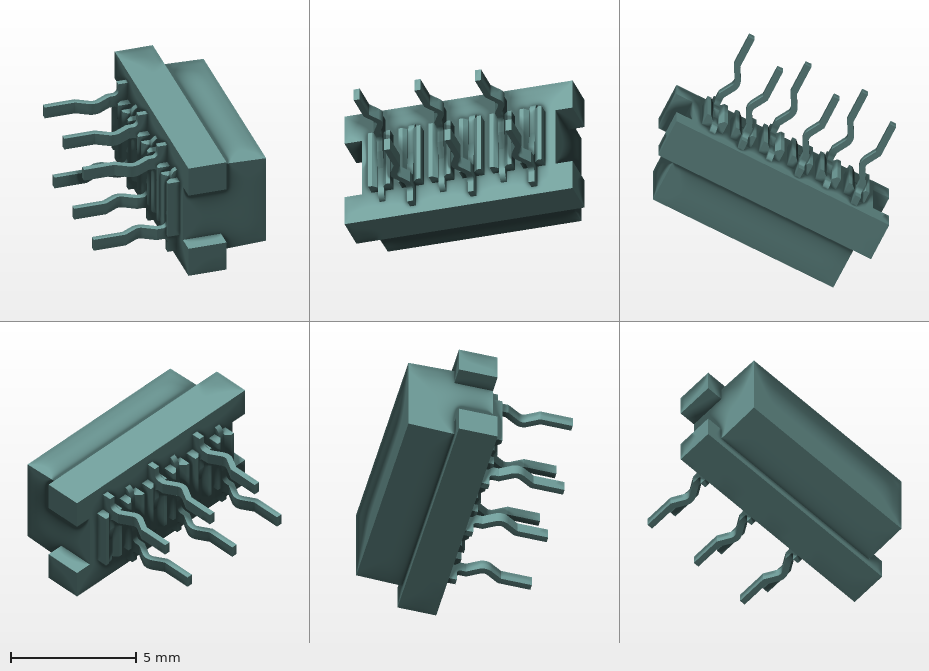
import math

import cadquery as cq

FLANGE_WIDTH = 9.55
FLANGE_HEIGHT = 5.0
FLANGE_DEPTH = 1.6
NOTCH_HEIGHT = 2.48
REAR_WIDTH = 8.1
REAR_DEPTH = 1.9
REAR_ROOT_HEIGHT = 3.98
REAR_DRAFT_ANGLE = 2.0

CONTACT_COUNT = 6
PITCH = 1.27
ROW_OFFSET = PITCH

CONTACT_THICKNESS = 0.25
RIB_PAIR_WIDTH = 0.92
RIB_HEIGHT = NOTCH_HEIGHT
RIB_DEPTH = 0.5
RIB_CHAMFER = 0.17

STRIP_DATUM_Z = -0.06
HEAD_HEIGHT = 2.093
FOOT_HEIGHT = -1.667
FOOT_ARC_HEIGHT = 0.34
STEP_TOP = 0.445
STEP_BOTTOM = -0.255
STRIP_DEPTH = 0.4
THIN_DEPTH = 0.25

TAIL_END = 3.5
TAIL_HEIGHT = 0.5
TAIL_ROOT_RADIUS = 0.2
KINK_CENTER = 1.5
KINK_HALF_LENGTH = 0.69
KINK_ANGLE = 30.0
KINK_RADIUS = 0.4


def make_housing():
    """Flange with a notch at each end, and the rear body tapering in height."""
    flange = cq.Workplane("XY").box(
        FLANGE_WIDTH, FLANGE_DEPTH, FLANGE_HEIGHT, centered=(True, False, True)
    )
    notch_width = (FLANGE_WIDTH - REAR_WIDTH) / 2
    for side in (-1, 1):
        notch = cq.Workplane("XY").box(
            notch_width, FLANGE_DEPTH, NOTCH_HEIGHT, centered=(True, False, True)
        )
        flange = flange.cut(notch.translate((side * (REAR_WIDTH + notch_width) / 2, 0, 0)))

    back = FLANGE_DEPTH + REAR_DEPTH
    root_z = REAR_ROOT_HEIGHT / 2
    back_z = root_z - REAR_DEPTH * math.tan(math.radians(REAR_DRAFT_ANGLE))
    rear = (
        cq.Workplane("YZ")
        .polyline([(FLANGE_DEPTH, -root_z), (back, -back_z), (back, back_z), (FLANGE_DEPTH, root_z)])
        .close()
        .extrude(REAR_WIDTH / 2, both=True)
    )
    return flange.union(rear)


def make_ribs(x):
    """Two ribs facing each other across the slot, chamfered at the slot mouth."""
    outer = RIB_PAIR_WIDTH / 2
    inner = CONTACT_THICKNESS / 2
    ribs = []
    for side in (-1, 1):
        rib = (
            cq.Workplane("XY")
            .polyline([
                (x + side * inner, 0),
                (x + side * outer, 0),
                (x + side * outer, -RIB_DEPTH),
                (x + side * (inner + RIB_CHAMFER), -RIB_DEPTH),
                (x + side * inner, -RIB_DEPTH + RIB_CHAMFER),
            ])
            .close()
            .extrude(RIB_HEIGHT / 2, both=True)
        )
        ribs.append(rib)
    return ribs


def make_strip(x, row):
    """Stepped strip with a rounded foot, filleted into the straight root of the tail.

    The row is +1 for the upper row and -1 for the lower row, which is turned upside down.
    """
    def at_height(depth, height):
        return (-depth, STRIP_DATUM_Z + row * height)

    def at_tail(depth, offset):
        return (-depth, row * (ROW_OFFSET + offset))

    half_tail = TAIL_HEIGHT / 2
    root_end = STRIP_DEPTH + TAIL_ROOT_RADIUS
    fillet_reach = half_tail + TAIL_ROOT_RADIUS
    fillet_middle = TAIL_ROOT_RADIUS * (1 - math.sqrt(0.5))
    middle_depth = STRIP_DEPTH + fillet_middle
    middle_offset = half_tail + fillet_middle

    foot_radius = (FOOT_ARC_HEIGHT**2 + THIN_DEPTH**2) / (2 * THIN_DEPTH)
    half_sweep = math.asin(FOOT_ARC_HEIGHT / foot_radius) / 2
    foot_arc_start = FOOT_HEIGHT + FOOT_ARC_HEIGHT
    foot_arc_depth = THIN_DEPTH - foot_radius * (1 - math.cos(half_sweep))
    foot_arc_height = foot_arc_start - foot_radius * math.sin(half_sweep)

    return (
        cq.Workplane("YZ", origin=(x - CONTACT_THICKNESS / 2, 0, 0))
        .moveTo(*at_height(0, HEAD_HEIGHT))
        .lineTo(*at_height(STRIP_DEPTH, HEAD_HEIGHT))
        .lineTo(*at_tail(STRIP_DEPTH, fillet_reach))
        .threePointArc(at_tail(middle_depth, middle_offset), at_tail(root_end, half_tail))
        .lineTo(*at_tail(root_end, -half_tail))
        .threePointArc(at_tail(middle_depth, -middle_offset), at_tail(STRIP_DEPTH, -fillet_reach))
        .lineTo(*at_height(STRIP_DEPTH, STEP_TOP))
        .lineTo(*at_height(THIN_DEPTH, STEP_BOTTOM))
        .lineTo(*at_height(THIN_DEPTH, foot_arc_start))
        .threePointArc(at_height(foot_arc_depth, foot_arc_height), at_height(0, FOOT_HEIGHT))
        .close()
        .extrude(CONTACT_THICKNESS)
    )


def make_tail(x, row):
    """Tail with a rounded kink, towards +X in the upper row and -X in the lower row."""
    angle = math.radians(KINK_ANGLE)
    half_width = CONTACT_THICKNESS / 2
    miter = half_width * math.tan(angle / 2)
    root_end = STRIP_DEPTH + TAIL_ROOT_RADIUS
    arc_center = KINK_HALF_LENGTH * math.tan(angle) - KINK_RADIUS / math.cos(angle)

    def at(offset, distance):
        return (x + row * offset, -distance)

    outer_radius = KINK_RADIUS + half_width
    inner_radius = KINK_RADIUS - half_width
    outer_shift = KINK_HALF_LENGTH + miter
    inner_shift = KINK_HALF_LENGTH - miter
    outer_arc_x = arc_center + outer_radius * math.cos(angle)
    inner_arc_x = arc_center + inner_radius * math.cos(angle)
    outer_arc_shift = outer_radius * math.sin(angle)
    inner_arc_shift = inner_radius * math.sin(angle)

    return (
        cq.Workplane("XY", origin=(0, 0, row * ROW_OFFSET))
        .moveTo(*at(half_width, root_end))
        .lineTo(*at(half_width, KINK_CENTER - outer_shift))
        .lineTo(*at(outer_arc_x, KINK_CENTER - outer_arc_shift))
        .threePointArc(
            at(arc_center + outer_radius, KINK_CENTER),
            at(outer_arc_x, KINK_CENTER + outer_arc_shift),
        )
        .lineTo(*at(half_width, KINK_CENTER + outer_shift))
        .lineTo(*at(half_width, TAIL_END))
        .lineTo(*at(-half_width, TAIL_END))
        .lineTo(*at(-half_width, KINK_CENTER + inner_shift))
        .lineTo(*at(inner_arc_x, KINK_CENTER + inner_arc_shift))
        .threePointArc(
            at(arc_center + inner_radius, KINK_CENTER),
            at(inner_arc_x, KINK_CENTER - inner_arc_shift),
        )
        .lineTo(*at(-half_width, KINK_CENTER - inner_shift))
        .lineTo(*at(-half_width, root_end))
        .close()
        .extrude(TAIL_HEIGHT / 2, both=True)
    )


def make_part():
    part = make_housing()
    for index in range(CONTACT_COUNT):
        x = (index - (CONTACT_COUNT - 1) / 2) * PITCH
        row = 1 if index % 2 == 0 else -1
        for rib in make_ribs(x):
            part = part.union(rib)
        part = part.union(make_strip(x, row)).union(make_tail(x, row))
    return part


result = make_part()